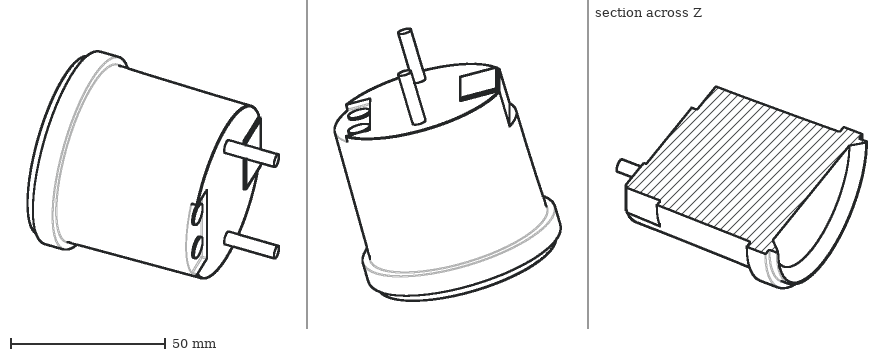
import cadquery as cq

total_length = 74.9
flange_front = 2.9
flange_back = 10.05
body_back = 57.5

bezel_radius = 30.1
flange_diameter = 65.0
flange_radius = flange_diameter / 2
body_front_radius = 29.8
body_back_radius = 29.1
dial_rim_radius = 29.4
dial_radius = 25.5
dial_depth = 4.05
edge_fillet = 0.3
back_fillet = 0.2

flat_start = 45.0
flat_y = 27.0

pocket_depth = 1.95
pocket_width = 30.4
pocket_inner_y = -16.5
pocket_corner_radius = 0.4
stud_radius = 3.6
stud_height = 0.7
stud_y = -20.6
stud_z = 7.35

plate_height = 1.0
plate_bottom_y = 13.85
plate_top_y = 26.4
plate_width = 21.1
plate_chamfer = 0.3

pin_radius = 2.2
pin_z = 20.2


def box(x_min, x_max, y_min, y_max, width_z):
    """Box between X and Y limits, centred on Z = 0."""
    return (
        cq.Workplane("XY")
        .box(x_max - x_min, y_max - y_min, width_z, centered=(False, False, True))
        .translate((x_min, y_min, 0))
    )


def rod(x_min, x_max, y, z, radius):
    """Round rod parallel to X."""
    return (
        cq.Workplane("YZ", origin=(x_min, y, z))
        .circle(radius)
        .extrude(x_max - x_min)
    )


def turned_housing():
    """Bezel, flange and tapered body, with the conical recess down to the dial."""
    outline = (
        cq.Workplane("XY")
        .moveTo(dial_depth, 0)
        .lineTo(dial_depth, dial_radius)
        .lineTo(0, dial_rim_radius)
        .lineTo(0, bezel_radius)
        .lineTo(flange_front, bezel_radius)
        .lineTo(flange_front, flange_radius)
        .lineTo(flange_back, flange_radius)
        .lineTo(flange_back, body_front_radius)
        .lineTo(body_back, body_back_radius)
        .lineTo(body_back, 0)
        .close()
    )
    housing = outline.revolve(360, (0, 0, 0), (1, 0, 0))
    flange_edges = housing.edges(cq.selectors.RadiusNthSelector(-1)).vals()
    bezel_edges = housing.edges(cq.selectors.RadiusNthSelector(-2)).vals()
    body_root = housing.edges(cq.selectors.RadiusNthSelector(-3)).vals()
    return housing.newObject(flange_edges + bezel_edges + body_root).fillet(edge_fillet)


def side_flat():
    """Material beyond the flat on the +Y side."""
    return box(flat_start, body_back, flat_y, flange_radius, 2 * flange_radius)


def back_pocket():
    """Shallow pocket open to the back and to the -Y side, rounded where its floor meets the walls."""
    pocket = box(
        body_back - pocket_depth, body_back, -flange_radius, pocket_inner_y, pocket_width
    )
    corners = pocket.edges("|X and >Y").vals()
    floor_edges = pocket.faces("<X").edges("not <Y").vals()
    return pocket.newObject(corners + floor_edges).fillet(pocket_corner_radius)


def back_plate():
    """Raised rectangular plate with a chamfered outer rim."""
    return (
        box(body_back, body_back + plate_height, plate_bottom_y, plate_top_y, plate_width)
        .faces(">X")
        .edges()
        .chamfer(plate_chamfer)
    )


def round_back_rim(housing):
    """Round the back rim of the tapered wall, including its dip around the pocket."""
    rim_zone = cq.selectors.BoxSelector(
        (body_back - 2 * pocket_depth, -flange_radius, -flange_radius),
        (body_back + pocket_depth, flange_radius, flange_radius),
    )
    tapered_wall = housing.faces("%CONE").faces(">X")
    return housing.newObject(tapered_wall.edges(rim_zone).vals()).fillet(back_fillet)


housing = round_back_rim(turned_housing().cut(back_pocket()))
result = housing.cut(side_flat()).union(back_plate())

pocket_floor = body_back - pocket_depth
for side in (-1, 1):
    stud = rod(pocket_floor, pocket_floor + stud_height, stud_y, side * stud_z, stud_radius)
    pin = rod(body_back, total_length, 0, side * pin_z, pin_radius)
    result = result.union(stud).union(pin)